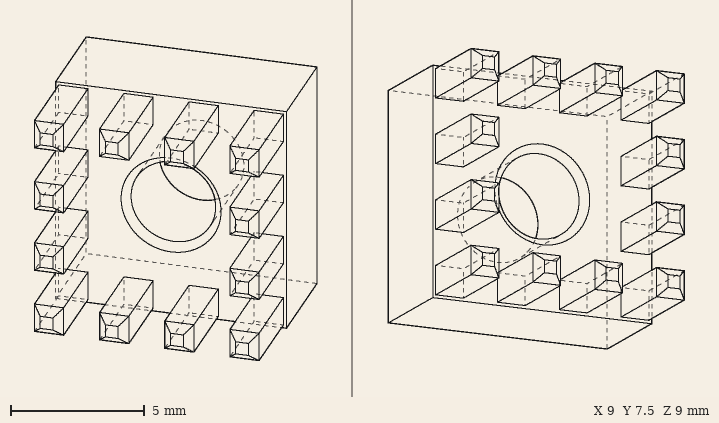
import cadquery as cq

block_side = 9.0
block_depth = 4.0
overall_depth = 7.5
pin_length = overall_depth - block_depth

hole_diameter = 3.3
hole_chamfer = 0.3

pins_per_side = 4
pin_pitch = 2.54
pin_width = 1.14
pin_tip_chamfer = 0.32


def make_block():
    """Block whose pin face lies on Y = 0 and whose body extends toward +Y."""
    block = cq.Workplane("XY").box(block_side, block_depth, block_side)
    block = block.translate((0, block_depth / 2, 0))
    block = block.faces("<Y").workplane(origin=(0, 0, 0)).hole(hole_diameter)
    return block.faces("<Y").edges("%CIRCLE").chamfer(hole_chamfer)


def make_pin():
    """Square pin running from Y = 0 toward -Y, with all four tip edges chamfered."""
    pin = cq.Workplane("XZ").rect(pin_width, pin_width).extrude(pin_length)
    return pin.faces("<Y").edges().chamfer(pin_tip_chamfer)


def pin_centers():
    """X, Z centers of the outer ring of a square pin grid."""
    last = pins_per_side - 1
    first_position = -last * pin_pitch / 2
    centers = []
    for column in range(pins_per_side):
        for row in range(pins_per_side):
            if column in (0, last) or row in (0, last):
                x = first_position + column * pin_pitch
                z = first_position + row * pin_pitch
                centers.append((x, z))
    return centers


result = make_block()
pin = make_pin()
for center_x, center_z in pin_centers():
    result = result.union(pin.translate((center_x, 0, center_z)))